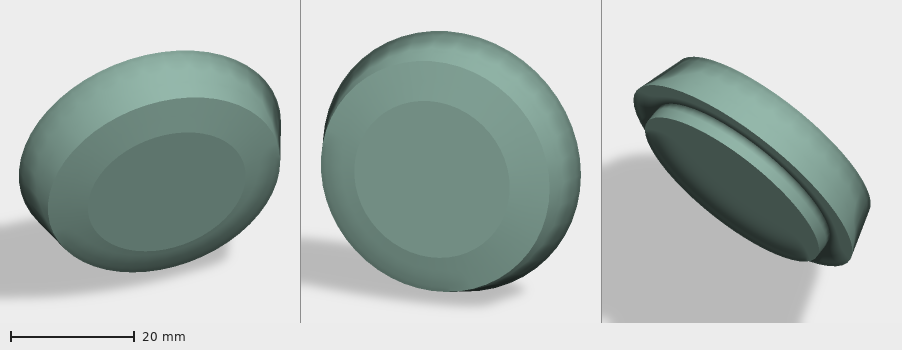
import cadquery as cq

outer_diameter = 44.0
spigot_diameter = 35.0
shoulder_diameter = 39.0
end_face_diameter = 26.5

total_length = 13.0
spigot_length = 3.0
rim_length = 8.35

spigot_start = -total_length / 2
rim_start = spigot_start + spigot_length
shoulder = rim_start + rim_length
end_face = total_length / 2

profile = (
    cq.Workplane("XY")
    .moveTo(spigot_start, 0)
    .lineTo(spigot_start, spigot_diameter / 2)
    .lineTo(rim_start, spigot_diameter / 2)
    .lineTo(rim_start, outer_diameter / 2)
    .lineTo(shoulder, shoulder_diameter / 2)
    .lineTo(end_face, end_face_diameter / 2)
    .lineTo(end_face, 0)
    .close()
)

result = profile.revolve(360, (0, 0, 0), (1, 0, 0))